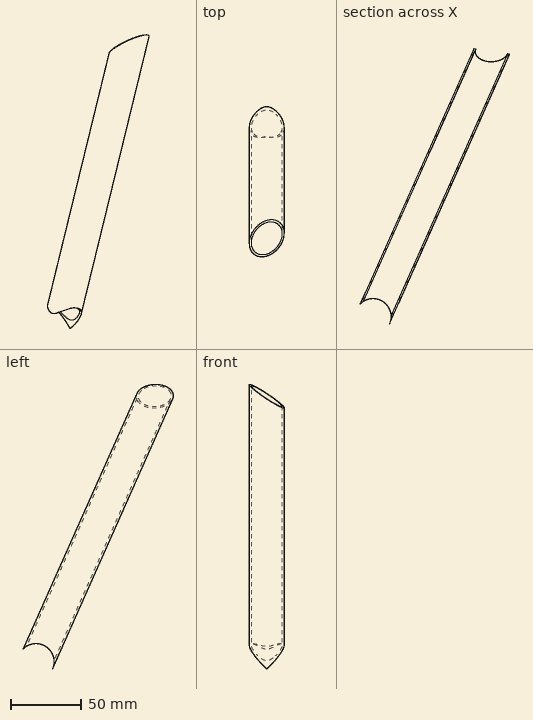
import cadquery as cq

outer_radius = 12.5
wall = 1.5
tilt = 24.0

notch_radius = 12.9
notch_center_y = notch_radius - outer_radius

cut_height = 207.65
cut_slope_x = -0.72
cut_slope_y = -0.27

stock_allowance = outer_radius
cutter_width = 4 * outer_radius
cutter_depth = 4 * stock_allowance


def tube():
    """Upright pipe whose lower end is level with the notch center."""
    ring = cq.Workplane("XY").circle(outer_radius).circle(outer_radius - wall)
    return ring.extrude(cut_height + stock_allowance)


def saddle_notch():
    """Round cutter along X, across the lower end of the pipe."""
    start = cq.Workplane("YZ", origin=(-cutter_width / 2, notch_center_y, 0))
    return start.circle(notch_radius).extrude(cutter_width)


def upper_cut():
    """Block above the oblique plane that ends the pipe."""
    plane = cq.Plane(
        origin=(0, 0, cut_height),
        xDir=(1, 0, cut_slope_x),
        normal=(-cut_slope_x, -cut_slope_y, 1),
    )
    return cq.Workplane(plane).rect(cutter_width, cutter_width).extrude(cutter_depth)


upright_pipe = tube().cut(saddle_notch()).cut(upper_cut())
result = upright_pipe.rotate((0, 0, 0), (1, 0, 0), tilt)